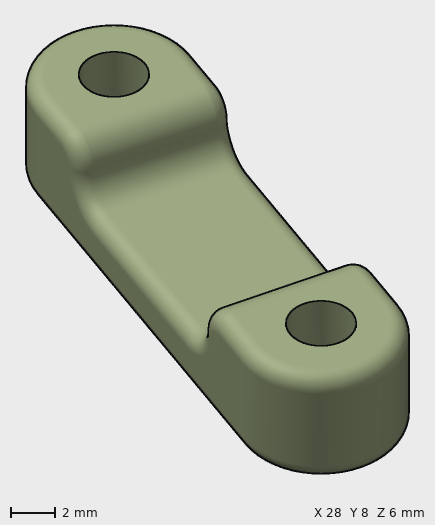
import cadquery as cq
import math

length = 28.0
width = 8.0
height = 6.0
hole_diameter = 3.2
saddle_width = 12.0
saddle_depth = 3.0
edge_radius = 0.8

end_radius = width / 2
hole_spacing = length - width
bend_radius = saddle_depth / 2
saddle_floor = height - saddle_depth
bend_height = height - bend_radius
wall_x = saddle_width / 2
floor_x = wall_x - bend_radius
top_x = wall_x + bend_radius
arc_offset = bend_radius * (1 - math.sqrt(0.5))


def make_bar():
    """Bar with fully rounded ends, standing on Z = 0."""
    return cq.Workplane("XY").slot2D(length, width).extrude(height)


def make_saddle_cutter():
    """Channel across the bar whose sides are two tangent quarter arcs each."""
    upper_mid = (wall_x + arc_offset, height - arc_offset)
    lower_mid = (wall_x - arc_offset, saddle_floor + arc_offset)
    return (
        cq.Workplane("XZ")
        .moveTo(-top_x, height)
        .threePointArc((-upper_mid[0], upper_mid[1]), (-wall_x, bend_height))
        .threePointArc((-lower_mid[0], lower_mid[1]), (-floor_x, saddle_floor))
        .lineTo(floor_x, saddle_floor)
        .threePointArc(lower_mid, (wall_x, bend_height))
        .threePointArc(upper_mid, (top_x, height))
        .close()
        .extrude(width, both=True)
    )


def round_outer_edges(body):
    """Round the bottom rim and the whole top rim, following the saddle."""
    top_end_rims = body.faces(">Z").edges("%CIRCLE")
    bottom_rim = body.faces("<Z").edges()
    return body.newObject(top_end_rims.vals() + bottom_rim.vals()).fillet(edge_radius)


def make_holes():
    """Through holes concentric with the rounded ends."""
    return (
        cq.Workplane("XY")
        .pushPoints([(-hole_spacing / 2, 0), (hole_spacing / 2, 0)])
        .circle(hole_diameter / 2)
        .extrude(height)
    )


body = make_bar().cut(make_saddle_cutter())
result = round_outer_edges(body).cut(make_holes())